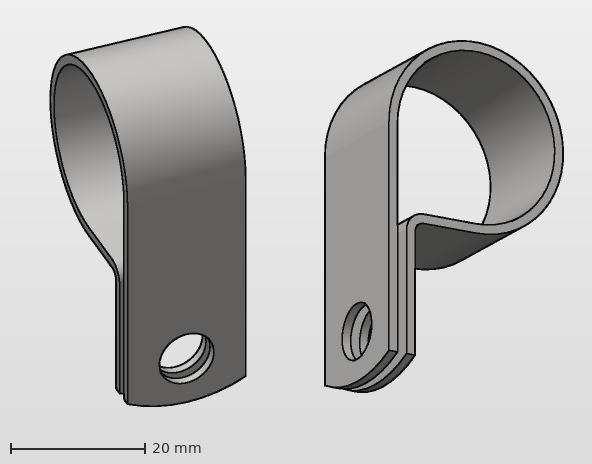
import cadquery as cq

height = 53.1
width = 19.05
loop_diameter = 30.0
thickness = 1.5

tab_gap = 1.55
bend_outer_radius = 2.95
hole_diameter = 8.75
hole_height = 7.9
tip_rise = 2.2

outer_radius = loop_diameter / 2
inner_radius = outer_radius - thickness
bend_inner_radius = bend_outer_radius - thickness
bottom = outer_radius - height
short_tab_right = inner_radius - tab_gap
short_tab_left = short_tab_right - thickness
bend_x = short_tab_right - bend_outer_radius
bend_z = -inner_radius - bend_outer_radius


def arc_middle(center_x, center_z, radius, side_x, side_z):
    """Point on a circle at 45 degrees, in the quadrant given by the signs."""
    reach = radius / 2**0.5
    return (center_x + side_x * reach, center_z + side_z * reach)


def make_strap():
    """Bent strip: long tab, three-quarter loop, bend and short tab."""
    return (
        cq.Workplane("XZ")
        .moveTo(outer_radius, bottom)
        .lineTo(outer_radius, 0)
        .threePointArc(arc_middle(0, 0, outer_radius, -1, 1), (0, -outer_radius))
        .lineTo(bend_x, -outer_radius)
        .threePointArc(arc_middle(bend_x, bend_z, bend_inner_radius, 1, 1), (short_tab_left, bend_z))
        .lineTo(short_tab_left, bottom)
        .lineTo(short_tab_right, bottom)
        .lineTo(short_tab_right, bend_z)
        .threePointArc(arc_middle(bend_x, bend_z, bend_outer_radius, 1, 1), (bend_x, -inner_radius))
        .lineTo(0, -inner_radius)
        .threePointArc(arc_middle(0, 0, inner_radius, -1, 1), (inner_radius, 0))
        .lineTo(inner_radius, bottom)
        .close()
        .extrude(width / 2, both=True)
    )


def make_side_outline():
    """Block with an arched lower end that trims both tabs."""
    return (
        cq.Workplane("YZ")
        .moveTo(-width / 2, outer_radius)
        .lineTo(-width / 2, bottom + tip_rise)
        .threePointArc((0, bottom), (width / 2, bottom + tip_rise))
        .lineTo(width / 2, outer_radius)
        .close()
        .extrude(outer_radius, both=True)
    )


def make_screw_hole():
    """Cylinder along X through both tabs."""
    return (
        cq.Workplane("YZ")
        .center(0, bottom + hole_height)
        .circle(hole_diameter / 2)
        .extrude(outer_radius, both=True)
    )


result = make_strap().intersect(make_side_outline()).cut(make_screw_hole())